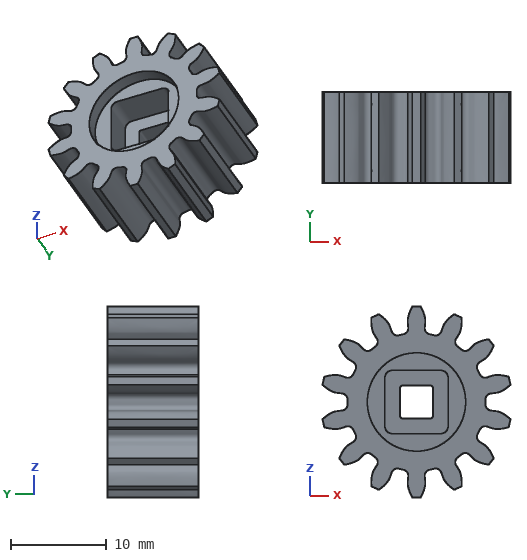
import math

import cadquery as cq

TOOTH_COUNT = 14
MODULE = 1.25
PRESSURE_ANGLE = math.radians(14.5)
FACE_WIDTH = 9.525
TOOTH_PITCH = 2 * math.pi / TOOTH_COUNT

PITCH_RADIUS = MODULE * TOOTH_COUNT / 2
BASE_RADIUS = PITCH_RADIUS * math.cos(PRESSURE_ANGLE)
ROOT_RADIUS = 7.23
TIP_CORNER_RADIUS = 10.004
TIP_UNWIND = math.sqrt((TIP_CORNER_RADIUS / BASE_RADIUS) ** 2 - 1)
BASE_HALF_ANGLE = math.radians(6.35)
INVOLUTE_STEPS = 6
ROOT_FILLET = 0.61

COUNTERBORE_DIAMETER = 10.29
COUNTERBORE_DEPTH = 1.47
SOCKET_SIZE = 6.6
SOCKET_DEPTH = 5.03
SOCKET_CORNER_RADIUS = 0.75
SQUARE_HOLE_SIZE = 3.4
SQUARE_HOLE_CORNER_RADIUS = 0.2

FRONT_Y = -FACE_WIDTH / 2
BACK_Y = FACE_WIDTH / 2
MATCH_TOLERANCE = 0.001


def sketch_plane(y):
    """Plane normal to the gear axis: local x is +X, local y is +Z, normal is -Y."""
    return cq.Workplane("XZ", origin=(0, y, 0))


def polar(radius, angle):
    """Point at a clockwise angle from +Z, seen from the -Y side."""
    return (radius * math.sin(angle), radius * math.cos(angle))


def flank(centre_angle, side):
    """Flank points of one tooth: radial from the root circle, then an involute to the tip."""
    points = [polar(ROOT_RADIUS, centre_angle + side * BASE_HALF_ANGLE)]
    for step in range(INVOLUTE_STEPS + 1):
        unwind = TIP_UNWIND * step / INVOLUTE_STEPS
        radius = BASE_RADIUS * math.hypot(1, unwind)
        half_angle = BASE_HALF_ANGLE - (unwind - math.atan(unwind))
        points.append(polar(radius, centre_angle + side * half_angle))
    return points


def add_tooth(outline, centre_angle):
    """Continue the outline over one tooth and along the root circle to the next tooth."""
    rising = flank(centre_angle, -1)
    falling = flank(centre_angle, 1)[::-1]
    tip_lean = BASE_HALF_ANGLE - TIP_UNWIND
    rising_ends = [
        polar(1, centre_angle - BASE_HALF_ANGLE),
        polar(1, centre_angle - tip_lean),
    ]
    falling_ends = [
        polar(-1, centre_angle + tip_lean),
        polar(-1, centre_angle + BASE_HALF_ANGLE),
    ]
    gap_middle = polar(ROOT_RADIUS, centre_angle + TOOTH_PITCH / 2)
    next_foot = polar(ROOT_RADIUS, centre_angle + TOOTH_PITCH - BASE_HALF_ANGLE)
    return (
        outline.spline(rising[1:], tangents=rising_ends, includeCurrent=True)
        .lineTo(*falling[0])
        .spline(falling[1:], tangents=falling_ends, includeCurrent=True)
        .threePointArc(gap_middle, next_foot)
    )


def is_root_corner(edge):
    """True for an edge lying on the root circle, where a flank meets it."""
    centre = edge.Center()
    return math.isclose(math.hypot(centre.x, centre.z), ROOT_RADIUS, abs_tol=MATCH_TOLERANCE)


def make_gear_blank():
    """Extruded gear outline, rounded where each flank meets the root circle."""
    outline = sketch_plane(BACK_Y).moveTo(*polar(ROOT_RADIUS, -BASE_HALF_ANGLE))
    for index in range(TOOTH_COUNT):
        outline = add_tooth(outline, index * TOOTH_PITCH)
    blank = outline.close().extrude(FACE_WIDTH)
    root_corners = [edge for edge in blank.edges("|Y").vals() if is_root_corner(edge)]
    return blank.newObject(root_corners).fillet(ROOT_FILLET)


def rounded_square(size, corner_radius, start_y, length):
    """Square bar along the axis running from start_y toward +Y."""
    return (
        sketch_plane(start_y)
        .rect(size, size)
        .extrude(-length)
        .edges("|Y")
        .fillet(corner_radius)
    )


def make_bore():
    """Round counterbore, square socket and smaller square through-hole."""
    counterbore = sketch_plane(FRONT_Y).circle(COUNTERBORE_DIAMETER / 2).extrude(-COUNTERBORE_DEPTH)
    socket = rounded_square(SOCKET_SIZE, SOCKET_CORNER_RADIUS, FRONT_Y, SOCKET_DEPTH)
    hole = rounded_square(SQUARE_HOLE_SIZE, SQUARE_HOLE_CORNER_RADIUS, FRONT_Y, FACE_WIDTH)
    return counterbore.union(socket).union(hole)


result = make_gear_blank().cut(make_bore())